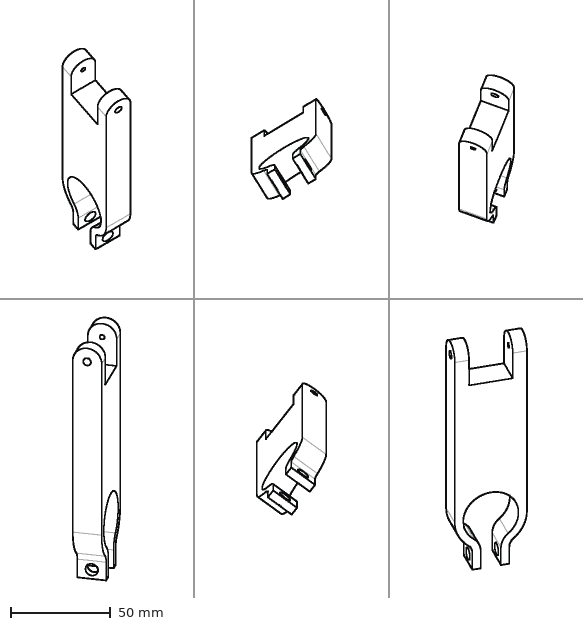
import cadquery as cq
import math

length = 131.9
width = 38.0
thickness = 15.0

arm_width = 7.5
slot_depth = 22.5
left_pin_hole_diameter = 2.5
right_pin_hole_diameter = 4.0
arm_radius = thickness / 2
pin_height = length - arm_radius

wall = 4.5
leg_height = 10.3
leg_outer_x = 9.8
ring_height = 29.4
bolt_hole_diameter = 6.5
bolt_height = 5.1

ring_outer_radius = width / 2
ring_inner_radius = ring_outer_radius - wall
leg_inner_x = leg_outer_x - wall

drop = ring_height - leg_height
bend_radius = (leg_outer_x**2 + drop**2 - ring_outer_radius**2) / (
    2 * (ring_outer_radius - leg_outer_x)
)
bend_x = leg_outer_x + bend_radius
joint_angle = math.atan2(bend_x, drop)


def ring_point(radius, angle):
    """Point around the ring centre, with the angle measured from straight down."""
    return (radius * math.sin(angle), ring_height - radius * math.cos(angle))


def bend_point(radius, angle):
    """Point around the right bend centre, with the angle measured from the -X direction."""
    return (bend_x - radius * math.cos(angle), leg_height + radius * math.sin(angle))


def mirrored(point):
    """Reflect an outline point across the centre plane X = 0."""
    return (-point[0], point[1])


def make_body():
    """Extrude the side plate, ring and clamp legs as one outline."""
    half_width = width / 2
    outer_joint = ring_point(ring_outer_radius, joint_angle)
    inner_joint = ring_point(ring_inner_radius, joint_angle)
    outer_ring_middle = ring_point(ring_outer_radius, (joint_angle + math.pi / 2) / 2)
    bend_sweep = math.pi / 2 - joint_angle
    outer_bend_middle = bend_point(bend_radius, bend_sweep / 2)
    inner_bend_middle = bend_point(bend_radius + wall, bend_sweep / 2)
    ring_top = (0, ring_height + ring_inner_radius)

    outline = (
        cq.Workplane("XZ")
        .moveTo(-half_width, length)
        .lineTo(half_width, length)
        .lineTo(half_width, ring_height)
        .threePointArc(outer_ring_middle, outer_joint)
        .threePointArc(outer_bend_middle, (leg_outer_x, leg_height))
        .lineTo(leg_outer_x, 0)
        .lineTo(leg_inner_x, 0)
        .lineTo(leg_inner_x, leg_height)
        .threePointArc(inner_bend_middle, inner_joint)
        .threePointArc(ring_top, mirrored(inner_joint))
        .threePointArc(mirrored(inner_bend_middle), (-leg_inner_x, leg_height))
        .lineTo(-leg_inner_x, 0)
        .lineTo(-leg_outer_x, 0)
        .lineTo(-leg_outer_x, leg_height)
        .threePointArc(mirrored(outer_bend_middle), mirrored(outer_joint))
        .threePointArc(mirrored(outer_ring_middle), (-half_width, ring_height))
        .close()
    )
    return outline.extrude(thickness / 2, both=True)


def make_fork_slot():
    """Block that separates the two fork arms."""
    return cq.Workplane("XY").box(
        width - 2 * arm_width, thickness, slot_depth, centered=(True, True, False)
    ).translate((0, 0, length - slot_depth))


def make_cross_hole(diameter, height, start_x, end_x):
    """Cylinder along X between two X positions."""
    return (
        cq.Workplane("YZ", origin=(start_x, 0, height))
        .circle(diameter / 2)
        .extrude(end_x - start_x)
    )


def make_rounded_side():
    """Side silhouette with full-round arm ends."""
    return (
        cq.Workplane("YZ")
        .moveTo(-arm_radius, 0)
        .lineTo(arm_radius, 0)
        .lineTo(arm_radius, pin_height)
        .threePointArc((0, length), (-arm_radius, pin_height))
        .close()
        .extrude(width / 2, both=True)
    )


result = (
    make_body()
    .intersect(make_rounded_side())
    .cut(make_fork_slot())
    .cut(make_cross_hole(left_pin_hole_diameter, pin_height, -width / 2, 0))
    .cut(make_cross_hole(right_pin_hole_diameter, pin_height, 0, width / 2))
    .cut(make_cross_hole(bolt_hole_diameter, bolt_height, -width / 2, width / 2))
)